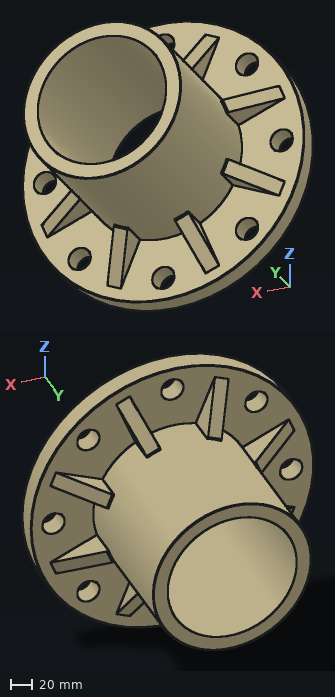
import cadquery as cq
import math

flange_diameter = 286.0
flange_thickness = 21.7
face_diameter = 215.5
face_height = 2.3
face_taper = 2.0

edge_chamfer = 0.5

total_length = 171.0
pipe_diameter = 160.0
bore_diameter = 130.5

groove_width = 1.7
groove_depth = 1.0

bolt_count = 8
bolt_circle_diameter = 240.2
bolt_hole_diameter = 22.3

rib_thickness = 15.0
rib_height = 28.5
rib_tip_radius = 81.5
rib_foot_radius = 130.5

bolt_pitch = 360 / bolt_count
flange_back = face_height + flange_thickness
face_radius = face_diameter / 2
pipe_radius = pipe_diameter / 2


def make_body():
    """Flange, raised face and bored pipe, turned about the Y axis."""
    bore_radius = bore_diameter / 2
    flange_radius = flange_diameter / 2
    profile = [
        (bore_radius, 0),
        (pipe_radius - groove_width / 2, 0),
        (pipe_radius, groove_depth),
        (pipe_radius + groove_width / 2, 0),
        (face_radius - face_taper, 0),
        (face_radius, face_height),
        (flange_radius, face_height),
        (flange_radius, flange_back - edge_chamfer),
        (flange_radius - edge_chamfer, flange_back),
        (pipe_radius, flange_back),
        (pipe_radius, total_length - edge_chamfer),
        (pipe_radius - edge_chamfer, total_length),
        (bore_radius, total_length),
    ]
    return cq.Workplane("XY").polyline(profile).close().revolve(360, (0, 0, 0), (0, 1, 0))


def make_rib():
    """Sloped rib along +X, rooted inside the pipe wall and sitting on the flange."""
    root_radius = (pipe_radius + bore_diameter / 2) / 2
    outline = [
        (root_radius, face_height + flange_thickness / 2),
        (rib_foot_radius, face_height + flange_thickness / 2),
        (rib_foot_radius, flange_back),
        (rib_tip_radius, flange_back + rib_height),
        (root_radius, flange_back + rib_height),
    ]
    return cq.Workplane("XY").polyline(outline).close().extrude(rib_thickness / 2, both=True)


def make_bolt_holes():
    """Cutters for the bolt holes, through the full flange thickness."""
    bolt_circle_radius = bolt_circle_diameter / 2
    angles = [math.radians(i * bolt_pitch) for i in range(bolt_count)]
    centers = [(bolt_circle_radius * math.cos(a), bolt_circle_radius * math.sin(a)) for a in angles]
    return cq.Workplane("XZ").pushPoints(centers).circle(bolt_hole_diameter / 2).extrude(-flange_back)


result = make_body()
for i in range(bolt_count):
    rib_angle = (i + 0.5) * bolt_pitch
    result = result.union(make_rib().rotate((0, 0, 0), (0, 1, 0), rib_angle))
result = result.cut(make_bolt_holes())